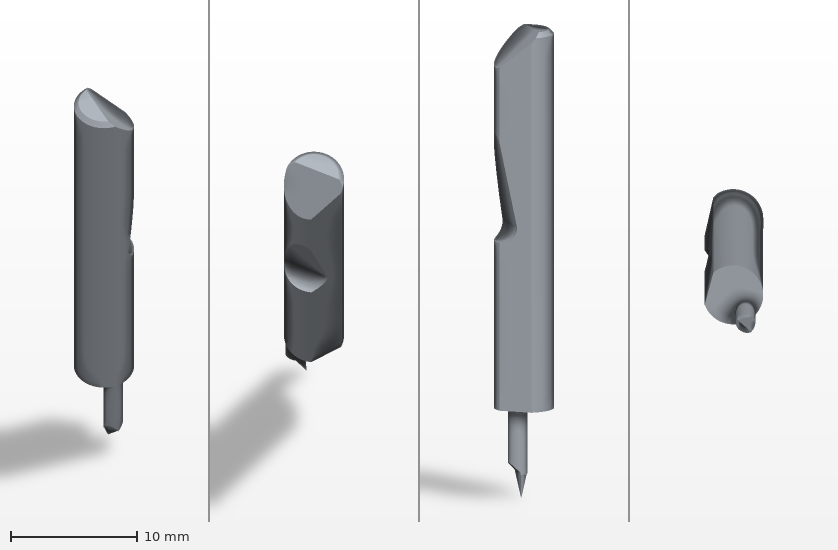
import cadquery as cq
import math

total_length = 37.88
shank_radius = 2.4
shank_bottom = 7.4
shank_chamfer = 0.38

flat_angle = 142.3
flat_distance = 1.97

bevel_front_y = -0.6

notch_top = 29.6
notch_bottom = 20.87
notch_radius = 1.3

neck_diameter = 1.55
neck_radius = neck_diameter / 2
neck_x = shank_radius - neck_radius

rake_y = 0.05
rake_runout_z = 2.0
tip_x = 0.6
tip_top = 1.8
flank_lean = 0.095
nose_width = 0.05
nose_height = 0.1
edge_rise = 1.2

flank_relief = (0.9, 0)
end_relief = (0, 1.4)
nose_relief = (1.0, 0.9)

margin = 3.8


def side_prism(points):
    """Extrude a (Y, Z) outline through the whole shank along X."""
    width = 2 * (shank_radius + margin)
    return cq.Workplane("YZ").polyline(points).close().extrude(width / 2, both=True)


def make_shank():
    shank = cq.Workplane("XY").workplane(offset=shank_bottom)
    shank = shank.circle(shank_radius).extrude(total_length - shank_bottom)
    shank = shank.faces(">Z").chamfer(shank_chamfer)
    side = 2 * (shank_radius + margin)
    flat = cq.Workplane("XY").box(side, side, total_length, centered=(False, True, False))
    flat = flat.translate((flat_distance, 0, 0)).rotate((0, 0, 0), (0, 0, 1), flat_angle)
    return shank.cut(flat)


def make_bevel():
    reach = shank_radius + margin
    drop = reach - bevel_front_y
    return side_prism([(bevel_front_y, total_length), (reach, total_length), (reach, total_length - drop)])


def make_notch():
    arc_y = shank_radius
    arc_z = notch_bottom + notch_radius
    diagonal = notch_radius * math.sqrt(0.5)
    reach = shank_radius + margin
    return (
        cq.Workplane("YZ")
        .moveTo(shank_radius, notch_top)
        .lineTo(arc_y - notch_radius, arc_z)
        .threePointArc((arc_y - diagonal, arc_z - diagonal), (arc_y, notch_bottom))
        .lineTo(reach, notch_bottom)
        .lineTo(reach, notch_top)
        .close()
        .extrude(reach, both=True)
    )


def ground_off(outline, relief):
    """Body to grind away: an (X, Z) outline at the rake face, shifted with depth toward -Y."""
    depth = neck_radius + 0.38
    shifted = [(x + relief[0] * depth, z + relief[1] * depth) for x, z in outline]
    sketch = cq.Workplane("XZ", origin=(0, rake_y, 0)).polyline(outline).close().workplane(offset=depth)
    return sketch.polyline(shifted).close().loft(ruled=True)


def make_neck_blank():
    neck = cq.Workplane("XY").center(neck_x, 0).circle(neck_radius).extrude(shank_bottom)
    tip_block = cq.Workplane("XY").box(neck_x - tip_x, neck_radius + rake_y, tip_top, centered=False)
    return neck.union(tip_block.translate((tip_x, -neck_radius, 0)))


def make_rake_cut():
    return side_prism([
        (rake_y, -margin),
        (rake_y + margin, -margin),
        (rake_y + margin, rake_runout_z + margin),
        (rake_y, rake_runout_z),
    ])


def make_end_cut():
    nose_x = tip_x + nose_width
    start = (nose_x - margin, -edge_rise * margin)
    end = (nose_x + margin, edge_rise * margin)
    return ground_off([start, (end[0], start[1]), end], end_relief)


def make_flank_cut():
    outline = [
        (tip_x - margin, -margin),
        (tip_x, -margin),
        (tip_x, 0),
        (tip_x + flank_lean, tip_top),
        (tip_x - margin, tip_top),
    ]
    return ground_off(outline, flank_relief)


def make_nose_cut():
    outline = [
        (tip_x - nose_width, 2 * nose_height),
        (tip_x - nose_width, -nose_height),
        (tip_x + 2 * nose_width, -nose_height),
    ]
    return ground_off(outline, nose_relief)


neck = make_neck_blank().cut(make_rake_cut()).cut(make_end_cut())
neck = neck.cut(make_flank_cut()).cut(make_nose_cut())
shank = make_shank().cut(make_bevel()).cut(make_notch())
result = shank.union(neck)